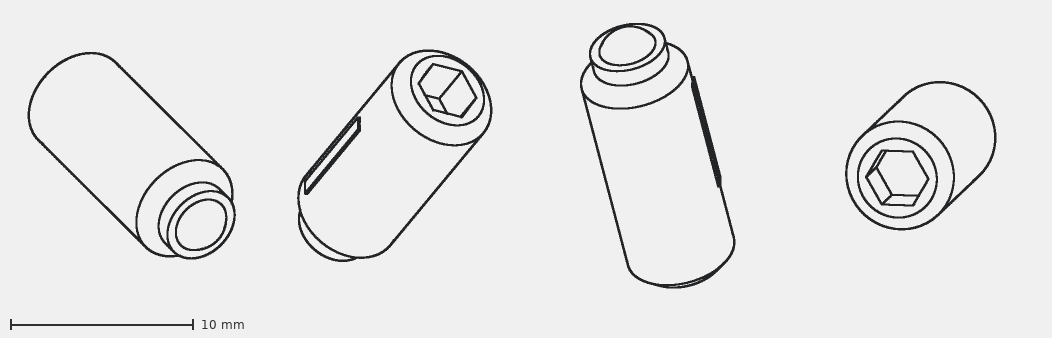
import cadquery as cq
import math

body_diameter = 6.0
overall_length = 16.0
nose_end = 15.0
body_length = 14.0
nose_diameter = 4.2
ball_diameter = 3.48

socket_chamfer = 0.8
nose_chamfer = (body_diameter - nose_diameter) / 2

hex_across_flats = 3.0
hex_depth = 3.0

patch_start = 5.0
patch_length = 7.0
patch_width = 0.8
patch_height = 0.1

body_radius = body_diameter / 2
nose_radius = nose_diameter / 2
ball_radius = ball_diameter / 2


def turned_body():
    """Chamfered shank, nose and protruding ball, revolved about X."""
    ball_center = overall_length - ball_radius
    ball_exit_radius = math.sqrt(ball_radius**2 - (nose_end - ball_center) ** 2)
    half_angle = math.atan2(ball_exit_radius, nose_end - ball_center) / 2
    arc_middle = (
        ball_center + ball_radius * math.cos(half_angle),
        ball_radius * math.sin(half_angle),
    )
    profile = (
        cq.Workplane("XY")
        .moveTo(0, 0)
        .lineTo(0, body_radius - socket_chamfer)
        .lineTo(socket_chamfer, body_radius)
        .lineTo(body_length - nose_chamfer, body_radius)
        .lineTo(body_length, nose_radius)
        .lineTo(nose_end, nose_radius)
        .lineTo(nose_end, ball_exit_radius)
        .threePointArc(arc_middle, (overall_length, 0))
        .close()
    )
    return profile.revolve(360, (0, 0, 0), (1, 0, 0))


def hex_socket():
    """Hexagonal cutter with two corners on the Y axis."""
    across_corners = hex_across_flats / math.cos(math.pi / 6)
    return cq.Workplane("YZ").polygon(6, across_corners).extrude(hex_depth)


def locking_patch():
    """Thin rectangular pad, rooted inside the shank and standing proud of it."""
    pad_top = body_radius + patch_height
    return (
        cq.Workplane("XY")
        .box(patch_length, pad_top, patch_width, centered=(False, False, True))
        .translate((patch_start, 0, 0))
    )


result = turned_body().union(locking_patch()).cut(hex_socket())